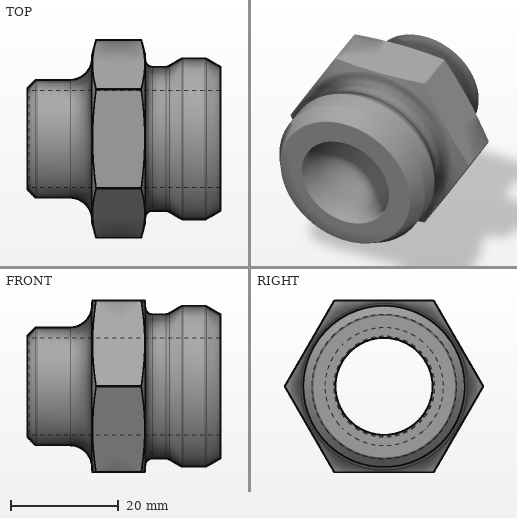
import cadquery as cq
import math

total_length = 36.0
bore_diameter = 18.0

tube_radius = 22.0 / 2
bevel_size = 1.6
bevel_edge_round = 0.4
bore_chamfer = 0.25
neck_fillet = 4.0

hex_start = 12.0
hex_end = 22.0
hex_across_flats = 32.0
hex_corner_diameter = 36.83
hex_face_radius = 15.5
hex_chamfer_angle = math.radians(15)

groove_radius = 26.9 / 2
groove_fillet = 1.2
groove_ramp_start = 26.1
thread_radius = 30.0 / 2
thread_chamfer_length = 2.85
thread_slope = math.tan(math.radians(30))
thread_edge_round = 0.5
end_edge_round = 0.2

thread_start = groove_ramp_start + (thread_radius - groove_radius) / thread_slope
thread_end = total_length - thread_chamfer_length
end_radius = thread_radius - thread_chamfer_length * thread_slope
bevel_tip_radius = tube_radius - bevel_size


def revolve_about_x(outline):
    return outline.close().revolve(360, (0, 0, 0), (1, 0, 0))


def round_rim(body, x, radius, fillet):
    """Round the circular edge of the given radius at position x."""
    margin = 0.02
    rim_box = cq.selectors.BoxSelector(
        (x - margin, -radius - margin, -radius - margin),
        (x + margin, radius + margin, radius + margin),
        boundingbox=True,
    )
    return body.edges(rim_box).edges(cq.selectors.RadiusNthSelector(-1)).fillet(fillet)


def make_tube():
    """Beveled tube that flares into the hexagon face."""
    arc_offset = neck_fillet * (1 - math.sqrt(0.5))
    tube = revolve_about_x(
        cq.Workplane("XY")
        .lineTo(0, bevel_tip_radius)
        .lineTo(bevel_size, tube_radius)
        .lineTo(hex_start - neck_fillet, tube_radius)
        .threePointArc(
            (hex_start - arc_offset, tube_radius + arc_offset),
            (hex_start, tube_radius + neck_fillet),
        )
        .lineTo(hex_end, tube_radius + neck_fillet)
        .lineTo(hex_end, 0)
    )
    return round_rim(tube, bevel_size, tube_radius, bevel_edge_round)


def make_hexagon():
    """Hexagonal collar with both faces chamfered and the corners trimmed."""
    prism = (
        cq.Workplane("YZ", origin=(hex_start, 0, 0))
        .polygon(6, hex_across_flats / math.cos(math.pi / 6))
        .extrude(hex_end - hex_start)
    )
    corner_radius = hex_corner_diameter / 2
    chamfer_depth = (corner_radius - hex_face_radius) * math.tan(hex_chamfer_angle)
    envelope = revolve_about_x(
        cq.Workplane("XY")
        .moveTo(hex_start, 0)
        .lineTo(hex_start, hex_face_radius)
        .lineTo(hex_start + chamfer_depth, corner_radius)
        .lineTo(hex_end - chamfer_depth, corner_radius)
        .lineTo(hex_end, hex_face_radius)
        .lineTo(hex_end, 0)
    )
    return prism.intersect(envelope)


def make_threaded_end():
    """Relief groove, ramp, plain thread cylinder and end chamfer."""
    arc_offset = groove_fillet * (1 - math.sqrt(0.5))
    body = revolve_about_x(
        cq.Workplane("XY")
        .moveTo(hex_start, 0)
        .lineTo(hex_start, groove_radius + groove_fillet)
        .lineTo(hex_end, groove_radius + groove_fillet)
        .threePointArc(
            (hex_end + arc_offset, groove_radius + arc_offset),
            (hex_end + groove_fillet, groove_radius),
        )
        .lineTo(groove_ramp_start, groove_radius)
        .lineTo(thread_start, thread_radius)
        .lineTo(thread_end, thread_radius)
        .lineTo(total_length, end_radius)
        .lineTo(total_length, 0)
    )
    body = round_rim(body, groove_ramp_start, groove_radius, groove_fillet)
    body = round_rim(body, thread_start, thread_radius, thread_edge_round)
    body = round_rim(body, thread_end, thread_radius, thread_edge_round)
    return round_rim(body, total_length, end_radius, end_edge_round)


def make_bore():
    """Through bore with a small chamfer at the weld tube mouth."""
    bore_radius = bore_diameter / 2
    return revolve_about_x(
        cq.Workplane("XY")
        .lineTo(0, bore_radius + bore_chamfer)
        .lineTo(bore_chamfer, bore_radius)
        .lineTo(total_length, bore_radius)
        .lineTo(total_length, 0)
    )


result = make_tube().union(make_hexagon()).union(make_threaded_end()).cut(make_bore())